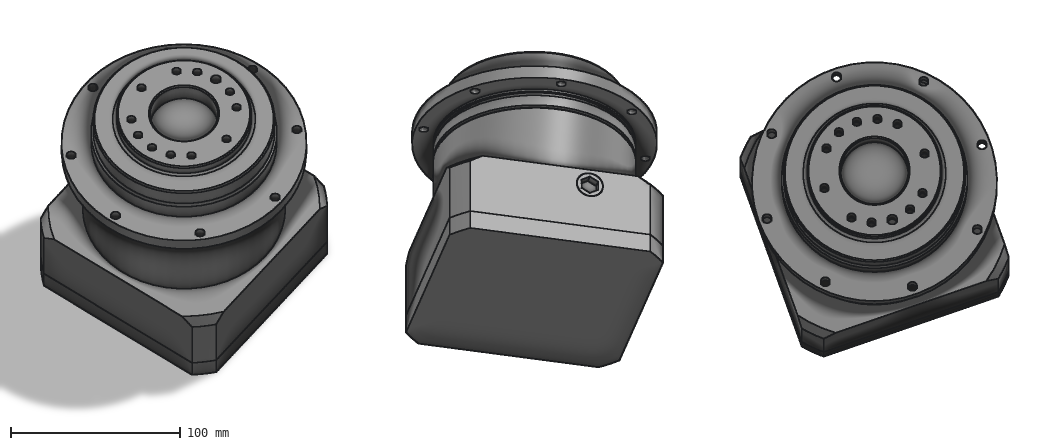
import cadquery as cq
import math

TOTAL_HEIGHT = 145.0
PLATE_HEIGHT = 11.9
BOX_TOP = 51.9
FLANGE_BOTTOM = 108.2
FLANGE_THICKNESS = 8.1
FLANGE_TOP = FLANGE_BOTTOM + FLANGE_THICKNESS
HOUSING_TOP = 139.0

BASE_WIDTH = 129.9
BASE_CORNER_RADIUS = 85.0
BASE_CORNER_CHAMFER = 4.6

BARREL_RADIUS = 60.0
FLANGE_RADIUS = 72.5
COLLAR_RADIUS = 55.0
NOSE_RADIUS = 53.8
NOSE_BOTTOM = 127.9
NOSE_CHAMFER_WIDTH = 0.9
NOSE_CHAMFER_HEIGHT = 1.2
COLLAR_CHAMFER_HEIGHT = 1.7
RELIEF_RADIUS = 58.5
RELIEF_BOTTOM = 103.7
RELIEF_TOP = 106.6
V_GROOVE_MIDDLE = 95.8
V_GROOVE_DEPTH = 1.0

FLANGE_HOLE_COUNT = 8
FLANGE_HOLE_DIAMETER = 5.5
FLANGE_HOLE_CIRCLE_RADIUS = 67.4

SHAFT_RADIUS = 39.9
SHOULDER_RADIUS = 42.2
SHAFT_BOTTOM = FLANGE_TOP
SHAFT_CHAMFER = 0.9
BORE_RADIUS = 20.0
BORE_DEPTH = 12.0
BORE_CHAMFER = 0.9

FACE_HOLE_CIRCLE_RADIUS = 31.5
FACE_HOLE_ANGLES = (0, 45, 67.5, 112.5, 135, 180, 225, 247.5, 270, 292.5, 315)
FACE_HOLE_DIAMETER = 5.1
FACE_HOLE_DEPTH = 11.6
DRILL_POINT_ANGLE = 118.0
DOWEL_HOLE_ANGLE = 90.0
DOWEL_HOLE_DIAMETER = 6.0
DOWEL_HOLE_DEPTH = 11.6

PLUG_Y = -18.0
PLUG_Z = 41.5
PLUG_RADIUS = 7.8
PLUG_CLEARANCE = 0.2
PLUG_LENGTH = 8.7
HEX_SIDES = 6
HEX_ACROSS_FLATS = 10.0
HEX_DEPTH = 5.1


def base_shapes(bottom, top):
    """Square block and round disc between two heights; their overlap is the base outline."""
    height = top - bottom
    square = cq.Workplane("XY").workplane(offset=bottom).rect(BASE_WIDTH, BASE_WIDTH).extrude(height)
    corner_round = cq.Workplane("XY").workplane(offset=bottom).circle(BASE_CORNER_RADIUS).extrude(height)
    return square, corner_round


def make_adapter_plate():
    """Plate that closes the bottom, with the same outline as the box above it."""
    square, corner_round = base_shapes(0, PLATE_HEIGHT)
    return square.intersect(corner_round)


def make_housing_box():
    """Square lower housing; the corners also slope at the top."""
    square, corner_round = base_shapes(PLATE_HEIGHT, BOX_TOP)
    return square.intersect(corner_round.faces(">Z").chamfer(BASE_CORNER_CHAMFER))


def make_housing_barrel():
    """Turned upper housing, as half a cross-section revolved about Z."""
    profile = [
        (0, BOX_TOP),
        (BARREL_RADIUS, BOX_TOP),
        (BARREL_RADIUS, V_GROOVE_MIDDLE - V_GROOVE_DEPTH),
        (BARREL_RADIUS - V_GROOVE_DEPTH, V_GROOVE_MIDDLE),
        (BARREL_RADIUS, V_GROOVE_MIDDLE + V_GROOVE_DEPTH),
        (BARREL_RADIUS, RELIEF_BOTTOM),
        (RELIEF_RADIUS, RELIEF_BOTTOM),
        (RELIEF_RADIUS, RELIEF_TOP),
        (BARREL_RADIUS, RELIEF_TOP),
        (BARREL_RADIUS, FLANGE_BOTTOM),
        (FLANGE_RADIUS, FLANGE_BOTTOM),
        (FLANGE_RADIUS, FLANGE_TOP),
        (COLLAR_RADIUS, FLANGE_TOP),
        (COLLAR_RADIUS, NOSE_BOTTOM - COLLAR_CHAMFER_HEIGHT),
        (NOSE_RADIUS, NOSE_BOTTOM),
        (NOSE_RADIUS, HOUSING_TOP - NOSE_CHAMFER_HEIGHT),
        (NOSE_RADIUS - NOSE_CHAMFER_WIDTH, HOUSING_TOP),
        (SHOULDER_RADIUS, HOUSING_TOP),
        (SHOULDER_RADIUS, SHAFT_BOTTOM),
        (0, SHAFT_BOTTOM),
    ]
    return cq.Workplane("XZ").polyline(profile).close().revolve(360, (0, 0, 0), (0, 1, 0))


def plug_cylinder(radius):
    """Round volume going in from the -X side: the plug itself, or its seat."""
    return (
        cq.Workplane("YZ", origin=(-BASE_WIDTH / 2, PLUG_Y, PLUG_Z))
        .circle(radius)
        .extrude(PLUG_LENGTH)
    )


def make_housing():
    """Box and barrel in one piece, with the flange holes and the plug seat cut out."""
    flange_holes = (
        cq.Workplane("XY")
        .workplane(offset=FLANGE_BOTTOM)
        .polarArray(FLANGE_HOLE_CIRCLE_RADIUS, 0, 360, FLANGE_HOLE_COUNT)
        .circle(FLANGE_HOLE_DIAMETER / 2)
        .extrude(FLANGE_THICKNESS)
    )
    housing = make_housing_box().union(make_housing_barrel())
    plug_seat = plug_cylinder(PLUG_RADIUS + PLUG_CLEARANCE)
    return housing.cut(flange_holes).cut(plug_seat)


def drilled_hole(angle, diameter, depth, point_depth):
    """Cutter for a hole in the shaft face; a point depth of 0 leaves a flat bottom."""
    radius = diameter / 2
    floor = TOTAL_HEIGHT - depth
    profile = cq.Workplane("XZ").moveTo(0, TOTAL_HEIGHT).lineTo(radius, TOTAL_HEIGHT).lineTo(radius, floor)
    cutter = profile.lineTo(0, floor - point_depth).close().revolve(360, (0, 0, 0), (0, 1, 0))
    x = FACE_HOLE_CIRCLE_RADIUS * math.cos(math.radians(angle))
    y = FACE_HOLE_CIRCLE_RADIUS * math.sin(math.radians(angle))
    return cutter.translate((x, y, 0))


def make_output_shaft():
    """Turned shaft flange with a blind bore, tapped holes and one dowel hole."""
    bore_floor = TOTAL_HEIGHT - BORE_DEPTH
    profile = [
        (0, SHAFT_BOTTOM),
        (SHOULDER_RADIUS, SHAFT_BOTTOM),
        (SHOULDER_RADIUS, HOUSING_TOP),
        (SHAFT_RADIUS, HOUSING_TOP),
        (SHAFT_RADIUS, TOTAL_HEIGHT - SHAFT_CHAMFER),
        (SHAFT_RADIUS - SHAFT_CHAMFER, TOTAL_HEIGHT),
        (BORE_RADIUS + BORE_CHAMFER, TOTAL_HEIGHT),
        (BORE_RADIUS, TOTAL_HEIGHT - BORE_CHAMFER),
        (BORE_RADIUS, bore_floor),
        (0, bore_floor),
    ]
    shaft = cq.Workplane("XZ").polyline(profile).close().revolve(360, (0, 0, 0), (0, 1, 0))
    point_depth = FACE_HOLE_DIAMETER / 2 / math.tan(math.radians(DRILL_POINT_ANGLE / 2))
    for angle in FACE_HOLE_ANGLES:
        shaft = shaft.cut(drilled_hole(angle, FACE_HOLE_DIAMETER, FACE_HOLE_DEPTH, point_depth))
    return shaft.cut(drilled_hole(DOWEL_HOLE_ANGLE, DOWEL_HOLE_DIAMETER, DOWEL_HOLE_DEPTH, 0))


def make_screw_plug():
    """Plug flush with the housing side, with a hexagon socket that points up."""
    hex_across_corners = HEX_ACROSS_FLATS / math.cos(math.pi / HEX_SIDES)
    socket = (
        cq.Workplane("YZ", origin=(-BASE_WIDTH / 2, PLUG_Y, PLUG_Z))
        .transformed(rotate=(0, 0, 90))
        .polygon(HEX_SIDES, hex_across_corners)
        .extrude(HEX_DEPTH)
    )
    return plug_cylinder(PLUG_RADIUS).cut(socket)


adapter_plate = make_adapter_plate()
housing = make_housing()
output_shaft = make_output_shaft()
screw_plug = make_screw_plug()

result = cq.Compound.makeCompound(
    [adapter_plate.val(), housing.val(), output_shaft.val(), screw_plug.val()]
)